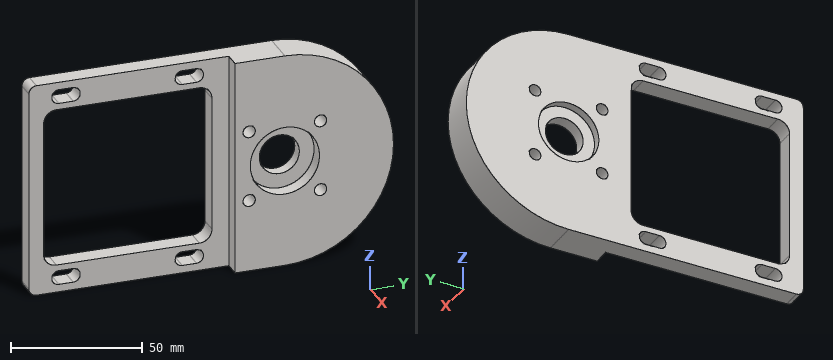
import cadquery as cq

overall_length = 145.0
overall_width = 88.0
head_thickness = 15.0
frame_thickness = 8.0
head_radius = overall_width / 2
frame_end = head_radius - overall_length
head_end = -20.2
end_corner_radius = 3.0

window_near = -27.0
window_far = -95.0
window_height = 65.1
window_corner_radius = 5.1

slot_length = 11.5
slot_width = 5.7
slot_rows = (-38.0, 38.0)
slot_stations = (-36.1, -86.0)

bore_diameter = 16.1
front_recess_diameter = 26.0
front_recess_depth = 3.5
rear_recess_diameter = 28.0
rear_recess_depth = 6.1
bolt_hole_diameter = 5.0
bolt_spacing = 28.9


def cylinder_along_x(diameter, start, length):
    """Cylinder on the bore axis, running towards +X from start."""
    return cq.Workplane("YZ", origin=(start, 0, 0)).circle(diameter / 2).extrude(length)


def make_plate():
    """Plate with a thick round head and a thinner rectangular frame."""
    outline = (
        cq.Workplane("YZ")
        .moveTo(frame_end, -head_radius)
        .lineTo(0, -head_radius)
        .threePointArc((head_radius, 0), (0, head_radius))
        .lineTo(frame_end, head_radius)
        .close()
    )
    plate = outline.extrude(head_thickness)
    step_cut = cq.Workplane("XY").box(
        head_thickness - frame_thickness,
        head_end - frame_end,
        overall_width,
        centered=(False, False, True),
    )
    plate = plate.cut(step_cut.translate((frame_thickness, frame_end, 0)))
    return plate.edges("|X and <Y").fillet(end_corner_radius)


def make_window():
    """Rounded rectangular opening through the frame."""
    window = (
        cq.Workplane("YZ", origin=(0, (window_near + window_far) / 2, 0))
        .rect(window_near - window_far, window_height)
        .extrude(head_thickness)
    )
    return window.edges("|X").fillet(window_corner_radius)


def make_slots():
    """Four slots, elongated along Y, beside the window."""
    centers = [(y, z) for y in slot_stations for z in slot_rows]
    return (
        cq.Workplane("YZ")
        .pushPoints(centers)
        .slot2D(slot_length, slot_width)
        .extrude(head_thickness)
    )


def make_bore():
    """Through bore with a round recess in each face of the head."""
    bore = cylinder_along_x(bore_diameter, 0, head_thickness)
    front_recess = cylinder_along_x(front_recess_diameter, 0, front_recess_depth)
    rear_recess = cylinder_along_x(
        rear_recess_diameter, head_thickness - rear_recess_depth, rear_recess_depth
    )
    return bore.union(front_recess).union(rear_recess)


def make_bolt_holes():
    """Square pattern of four through holes around the bore."""
    return (
        cq.Workplane("YZ")
        .rect(bolt_spacing, bolt_spacing, forConstruction=True)
        .vertices()
        .circle(bolt_hole_diameter / 2)
        .extrude(head_thickness)
    )


result = (
    make_plate()
    .cut(make_window())
    .cut(make_slots())
    .cut(make_bore())
    .cut(make_bolt_holes())
)